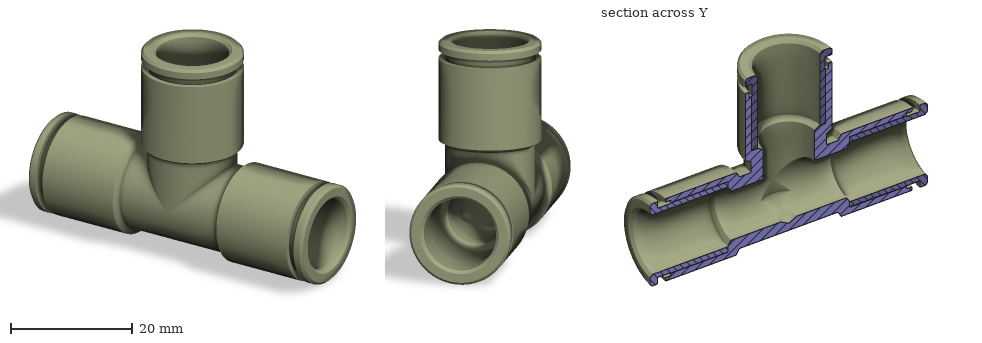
import cadquery as cq
import math

PORT_LENGTH = 27.0
OUTER_DIAMETER = 17.0
WAIST_DIAMETER = 14.8

NECK_DIAMETER = 14.3
TUBE_DIAMETER = 12.15
MOUTH_DIAMETER = 13.2
FLANGE_THICKNESS = 1.55
FLANGE_CHAMFER = 0.45
COLLAR_LENGTH = 15.1

COLLAR_GAP = 1.4
SLEEVE_LENGTH = 14.45
SLEEVE_TAPER = 0.65
RECESS_DIAMETER = 15.4
RECESS_DEPTH = 1.1
PASSAGE_DIAMETER = 10.0
PASSAGE_TIP = 5.9
DRILL_HALF_ANGLE = 60.0

outer_radius = OUTER_DIAMETER / 2
waist_radius = WAIST_DIAMETER / 2
recess_radius = RECESS_DIAMETER / 2
neck_radius = NECK_DIAMETER / 2
tube_radius = TUBE_DIAMETER / 2
mouth_radius = MOUTH_DIAMETER / 2
passage_radius = PASSAGE_DIAMETER / 2
drill_slope = 1 / math.tan(math.radians(DRILL_HALF_ANGLE))
sleeve_outer_end = PORT_LENGTH - FLANGE_THICKNESS - COLLAR_GAP
recess_floor = sleeve_outer_end - RECESS_DEPTH
sleeve_inner_end = sleeve_outer_end - SLEEVE_LENGTH
socket_floor = PORT_LENGTH - COLLAR_LENGTH
passage_top = socket_floor - (tube_radius - passage_radius) * drill_slope
drill_tip_top = -PASSAGE_TIP + passage_radius * drill_slope

RUN_ANGLE = 90
PORT_ANGLES = (-RUN_ANGLE, 0, RUN_ANGLE)


def revolve_profile(points):
    """Revolve a closed (radius, height) outline around the Z axis."""
    return cq.Workplane("XZ").polyline(points).close().revolve(360, (0, 0, 0), (0, 1, 0))


def place_at_port(shape, angle):
    return shape.rotate((0, 0, 0), (0, 1, 0), angle)


def outside_profile():
    """Waist pipe widening into the sleeve, from the origin outward."""
    return [
        (waist_radius, sleeve_inner_end),
        (outer_radius, sleeve_inner_end + SLEEVE_TAPER),
        (outer_radius, sleeve_outer_end),
        (0, sleeve_outer_end),
    ]


def cavity_profile():
    """Passage, conical tube stop, collar socket and mouth recess, from the origin outward."""
    return [
        (passage_radius, passage_top),
        (tube_radius, socket_floor),
        (neck_radius, socket_floor),
        (neck_radius, recess_floor),
        (recess_radius, recess_floor),
        (recess_radius, sleeve_outer_end),
        (0, sleeve_outer_end),
    ]


def make_run(half_profile):
    """Revolve a half profile and its mirror image into one bar along X."""
    mirrored = [(radius, -height) for radius, height in reversed(half_profile)]
    return place_at_port(revolve_profile(mirrored + half_profile), RUN_ANGLE)


def make_tee():
    run = make_run(outside_profile())
    branch = revolve_profile([(0, 0), (waist_radius, 0)] + outside_profile())
    run_cavity = make_run(cavity_profile())
    drill_point = [(0, -PASSAGE_TIP), (passage_radius, drill_tip_top)]
    branch_cavity = revolve_profile(drill_point + cavity_profile())
    return run.union(branch).cut(run_cavity).cut(branch_cavity)


def make_collar():
    """Flanged release collar with a chamfered mouth."""
    flange_inner_face = PORT_LENGTH - FLANGE_THICKNESS
    mouth_depth = mouth_radius - tube_radius
    return revolve_profile([
        (tube_radius, socket_floor),
        (neck_radius, socket_floor),
        (neck_radius, flange_inner_face),
        (outer_radius, flange_inner_face),
        (outer_radius, PORT_LENGTH - FLANGE_CHAMFER),
        (outer_radius - FLANGE_CHAMFER, PORT_LENGTH),
        (mouth_radius, PORT_LENGTH),
        (tube_radius, PORT_LENGTH - mouth_depth),
    ])


tee = make_tee()
collars = [place_at_port(make_collar(), angle) for angle in PORT_ANGLES]

result = cq.Compound.makeCompound([*tee.solids().vals(), *[collar.val() for collar in collars]])